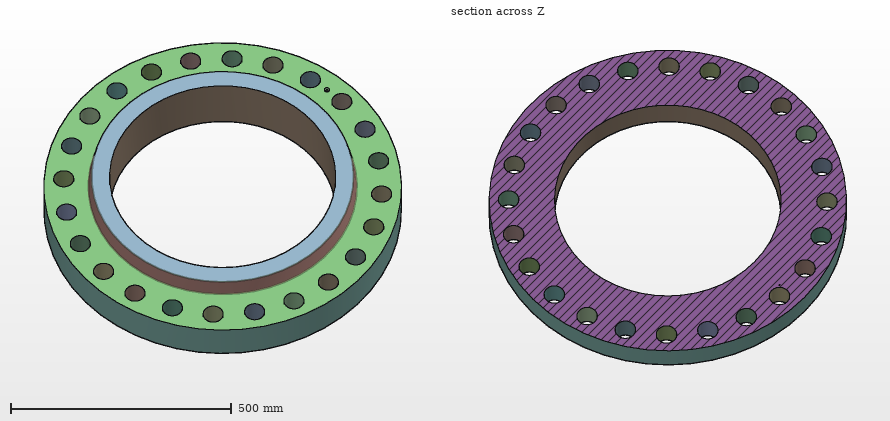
import cadquery as cq
import math

outer_diameter = 812.5
bore_diameter = 513.5
total_height = 136.5

face_diameter = 635.5
face_height = 10.0

hub_base_diameter = 609.5
hub_top_diameter = 596.0
hub_height = 37.0
hub_fillet = 2.0

bolt_count = 24
bolt_circle_diameter = 723.0
bolt_hole_diameter = 45.5

small_hole_diameter = 6.0
small_hole_mouth_diameter = 12.0
small_hole_depth = 24.0

flange_height = total_height - face_height - hub_height
flange_top = face_height + flange_height
bolt_pitch_angle = 360.0 / bolt_count
bolt_circle_radius = bolt_circle_diameter / 2


def on_bolt_circle(angle):
    """Point on the bolt circle at an angle in degrees, counterclockwise from +X."""
    return (
        bolt_circle_radius * math.cos(math.radians(angle)),
        bolt_circle_radius * math.sin(math.radians(angle)),
    )


def make_ring():
    """Revolve the flange, raised face and hub around Z as one body."""
    bore_radius = bore_diameter / 2
    face_radius = face_diameter / 2
    outer_radius = outer_diameter / 2
    section = [
        (bore_radius, 0),
        (face_radius, 0),
        (face_radius, face_height),
        (outer_radius, face_height),
        (outer_radius, flange_top),
        (hub_base_diameter / 2, flange_top),
        (hub_top_diameter / 2, total_height),
        (bore_radius, total_height),
    ]
    ring = cq.Workplane("XZ").polyline(section).close().revolve(360, (0, 0, 0), (0, 1, 0))
    hub_base_edge = cq.selectors.RadiusNthSelector(2)
    largest_circle = cq.selectors.RadiusNthSelector(-1)
    ring = ring.edges(hub_base_edge).fillet(hub_fillet)
    return ring.faces(">Z").edges(largest_circle).fillet(hub_fillet)


def make_bolt_holes():
    """Cylinders that pass through the full flange thickness."""
    centers = [on_bolt_circle(90 + i * bolt_pitch_angle) for i in range(bolt_count)]
    return (
        cq.Workplane("XY", origin=(0, 0, face_height))
        .pushPoints(centers)
        .circle(bolt_hole_diameter / 2)
        .extrude(flange_height)
    )


def make_small_hole():
    """Blind hole with a 45 degree chamfered mouth, beside the +Y bolt hole on its -X side."""
    hole_radius = small_hole_diameter / 2
    mouth_radius = small_hole_mouth_diameter / 2
    chamfer_depth = mouth_radius - hole_radius
    section = [
        (0, 0),
        (mouth_radius, 0),
        (hole_radius, -chamfer_depth),
        (hole_radius, -small_hole_depth),
        (0, -small_hole_depth),
    ]
    center_x, center_y = on_bolt_circle(90 + bolt_pitch_angle / 2)
    hole = cq.Workplane("XZ").polyline(section).close().revolve(360, (0, 0, 0), (0, 1, 0))
    return hole.translate((center_x, center_y, flange_top))


result = make_ring().cut(make_bolt_holes()).cut(make_small_hole())